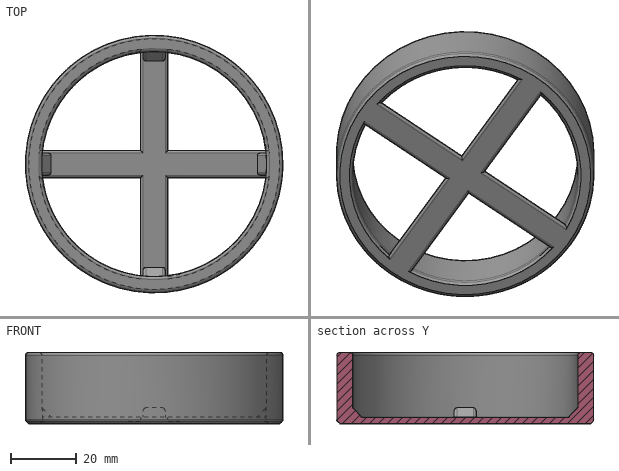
import cadquery as cq

outer_diameter = 79.0
inner_diameter = 69.0
height = 22.0
rim_fillet = 0.95
bottom_chamfer = 1.0

bar_width = 8.45
bar_thickness = 2.05
bar_fillet = 0.8

wedge_width = bar_width - 2 * bar_fillet
wedge_run = 2.85
wedge_rise = 3.0
wedge_fillet = 0.9
wall_overlap = 1.6

outer_radius = outer_diameter / 2
inner_radius = inner_diameter / 2
bar_length = inner_diameter + 2 * wall_overlap


def make_ring():
    """Ring with rounded upper rims and softened chamfers on both lower rims."""
    ring = cq.Workplane("XY").circle(outer_radius).circle(inner_radius).extrude(height)
    ring = ring.faces(">Z").edges().fillet(rim_fillet)
    ring = ring.faces("<Z").edges().chamfer(bottom_chamfer)
    chamfer_top = cq.selectors.BoxSelector(
        (-outer_diameter, -outer_diameter, bottom_chamfer / 2),
        (outer_diameter, outer_diameter, bottom_chamfer * 2),
    )
    return ring.edges(chamfer_top).edges("%CIRCLE").fillet(rim_fillet)


def is_long_edge(edge):
    """True for the sides of the bars, false for the edges at their hidden ends."""
    center = edge.Center()
    return max(abs(center.x), abs(center.y)) < inner_radius


def make_cross():
    """Two crossing bars with their long upper and lower edges rounded."""
    along_x = cq.Workplane("XY").rect(bar_length, bar_width).extrude(bar_thickness)
    along_y = cq.Workplane("XY").rect(bar_width, bar_length).extrude(bar_thickness)
    cross = along_x.union(along_y)
    return cross.faces("<Z or >Z").edges().filter(is_long_edge).fillet(bar_fillet)


def make_wedge():
    """Sloped block at the +X bar end, with the sides of its slope rounded."""
    toe = inner_radius - wedge_run
    back = inner_radius + wall_overlap
    slope = wedge_rise / wedge_run
    profile = [
        (toe, 0),
        (toe, bar_thickness),
        (back, bar_thickness + slope * (back - toe)),
        (back, 0),
    ]
    wedge = cq.Workplane("XZ").polyline(profile).close().extrude(wedge_width / 2, both=True)
    slope_edges = wedge.faces(">Z").edges("not |Y")
    return slope_edges.fillet(wedge_fillet)


result = make_ring().union(make_cross())
wedge_block = make_wedge()
for quarter_turn in range(4):
    result = result.union(wedge_block.rotate((0, 0, 0), (0, 0, 1), 90 * quarter_turn))